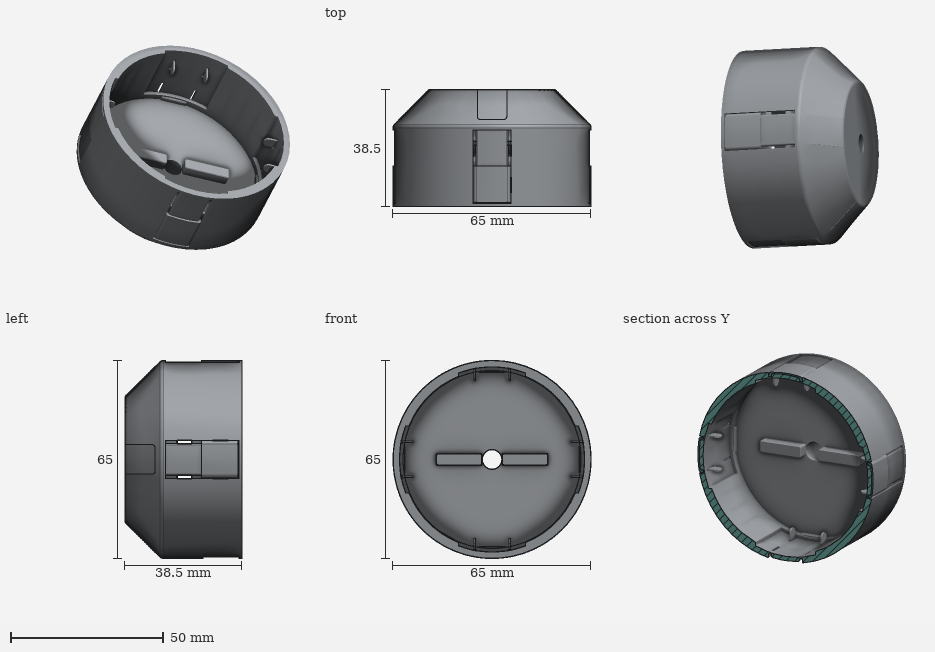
import cadquery as cq
import math

outer_radius = 32.5
total_length = 38.5
cone_start = 26.5
cone_end_radius = outer_radius - (total_length - cone_start)
cone_fillet = 1.5
cavity_depth = 23.4
bore_rim_radius = 29.4
bore_floor_radius = 29.2
center_hole_radius = 3.2

bar_inner_end = center_hole_radius
bar_length = 15.2
bar_width = 4.0
bar_height = 3.4
bar_corner = 0.6
bar_edge = 0.25

pad_width = 9.7
pad_start = 28.6
pad_height = 0.1
pad_corner = 1.0

station_count = 4
station_angle = 360 / station_count
flipped_station = 2
pocket_width = 22.0
pocket_radius = 30.4
pocket_depth = 21.3
window_width = 12.5
window_start = 1.0
window_end = 25.2
window_middle = (window_start + window_end) / 2
window_floor_radius = 31.0
saddle_width = 10.4
saddle_radius = 32.0
saddle_fillet = 0.5
slot_length = 5.0
slot_offset = 6.0
slot_bottom_z = 29.6
slot_width = (window_width - saddle_width) / 2
slot_center = (window_width + saddle_width) / 4
bead_length = 8.8
bead_width = 1.5
bead_chamfer = 0.3
bead_top_z = 28.5
bead_start = cavity_depth - bead_width

clip_side_gap = 0.1
clip_width = window_width - 2 * clip_side_gap
clip_length = 12.0
clip_start = 1.4
clip_fillet = 1.2
tongue_width = 3.3
tongue_thickness = 0.5
tongue_center = 5.75
tongue_gap = 1.0
tongue_start = window_middle - slot_offset - slot_length / 2 + tongue_gap
tongue_tip_z = 25.9
tongue_tip_flat = 0.02


def cylinder(radius, start, end):
    """Solid cylinder on the Y axis between two Y positions."""
    return cq.Workplane("XZ", origin=(0, start, 0)).circle(radius).extrude(start - end)


def block(x_center, width, start, end, bottom, top):
    """Box given by its X center and width, its Y range and its Z range."""
    box = cq.Workplane("XY").box(width, end - start, top - bottom)
    return box.translate((x_center, (start + end) / 2, (bottom + top) / 2))


def at_station(shape, index):
    """Turn a shape built on the +Z side to the given station."""
    return shape.rotate((0, 0, 0), (0, 1, 0), index * station_angle)


def make_outer_body(cone_raise=0.0):
    """Solid outside shape; cone_raise lifts the cone along its normal."""
    cone_shift = cone_raise * math.sqrt(2)
    profile = (
        cq.Workplane("XY")
        .lineTo(outer_radius, 0)
        .lineTo(outer_radius, cone_start + cone_shift)
        .lineTo(cone_end_radius + cone_shift, total_length)
        .lineTo(0, total_length)
        .close()
    )
    body = profile.revolve(360, (0, 0, 0), (0, 1, 0))
    body = body.edges("%CIRCLE").edges(">Y").fillet(cone_fillet)
    largest_circles = cq.selectors.RadiusNthSelector(-1)
    return body.edges("%CIRCLE").edges(largest_circles).edges(">Y").fillet(cone_fillet)


def make_cavity():
    profile = (
        cq.Workplane("XY")
        .lineTo(bore_rim_radius, 0)
        .lineTo(bore_floor_radius, cavity_depth)
        .lineTo(0, cavity_depth)
        .close()
    )
    return profile.revolve(360, (0, 0, 0), (0, 1, 0))


def make_bar(side):
    """Floor bar on the +X side (side = 1) or the -X side (side = -1)."""
    bar = block(
        side * (bar_inner_end + bar_length / 2), bar_length,
        cavity_depth - bar_height, cavity_depth,
        -bar_width / 2, bar_width / 2,
    )
    return bar.edges("|Y").fillet(bar_corner).faces("<Y").edges().chamfer(bar_edge)


def make_pad():
    """Raised rectangle on the cone, with its two outer corners rounded."""
    outline = block(0, pad_width, pad_start, total_length, cone_end_radius / 2, outer_radius)
    outline = outline.faces("<Y").edges("|Z").fillet(pad_corner)
    return outline.intersect(make_outer_body(pad_height))


def make_saddle():
    """Land with a curved top and rounded long edges, as long as the window."""
    land = cylinder(saddle_radius, window_start, window_end)
    land = land.intersect(block(0, saddle_width, window_start, window_end, bore_rim_radius, outer_radius))
    return land.edges("|Y").edges(">Z").fillet(saddle_fillet)


def make_pocket():
    pocket = cylinder(pocket_radius, 0, pocket_depth)
    return pocket.intersect(block(0, pocket_width, 0, pocket_depth, 0, outer_radius))


def make_window():
    """Outside recess with the saddle left standing in it."""
    window = block(0, window_width, window_start, window_end, 0, 2 * outer_radius)
    window = window.cut(cylinder(window_floor_radius, window_start, window_end))
    return window.cut(make_saddle())


def make_slots():
    """The four slots through the window floor, two at each end."""
    slots = cq.Workplane("XY")
    for side in (-1, 1):
        for end in (-1, 1):
            middle = window_middle + end * slot_offset
            slots = slots.add(block(
                side * slot_center, slot_width,
                middle - slot_length / 2, middle + slot_length / 2,
                slot_bottom_z, outer_radius,
            ))
    return slots.combine()


def make_bead():
    bead = block(0, bead_length, bead_start, cavity_depth, bead_top_z, pocket_radius)
    return bead.faces("<Z").edges("<Y or |Y").chamfer(bead_chamfer)


def make_housing():
    housing = make_outer_body().cut(make_cavity())
    for index in range(station_count):
        for cutter in (make_pocket(), make_window(), make_slots()):
            housing = housing.cut(at_station(cutter, index))
        for addition in (make_bead(), make_pad()):
            housing = housing.union(at_station(addition, index))
    for side in (-1, 1):
        housing = housing.union(make_bar(side))
    return housing.cut(cylinder(center_hole_radius, 0, total_length))


def make_tongue(side):
    """Flat tongue with a fully round tip, reaching from the cover into the cavity."""
    tip_radius = (tongue_width - tongue_tip_flat) / 2
    tongue = block(
        side * tongue_center, tongue_thickness,
        tongue_start, tongue_start + tongue_width,
        tongue_tip_z, window_floor_radius,
    )
    return tongue.faces("<Z").edges("|X").fillet(tip_radius)


def make_clip():
    clip_end = clip_start + clip_length
    cover = cylinder(outer_radius, clip_start, clip_end)
    cover = cover.intersect(block(0, clip_width, clip_start, clip_end, bore_rim_radius, 2 * outer_radius))
    cover = cover.edges("|Y").edges(">Z").fillet(clip_fillet)
    cover = cover.cut(cylinder(window_floor_radius, clip_start, clip_end))
    cover = cover.cut(make_saddle())
    for side in (-1, 1):
        cover = cover.union(make_tongue(side))
    return cover


def make_placed_clip(index):
    clip = make_clip()
    if index == flipped_station:
        clip = clip.rotate((0, window_middle, 0), (0, window_middle, 1), 180)
    return at_station(clip, index)


housing = make_housing()
clips = [make_placed_clip(index) for index in range(station_count)]

result = cq.Compound.makeCompound([housing.val(), *[clip.val() for clip in clips]])